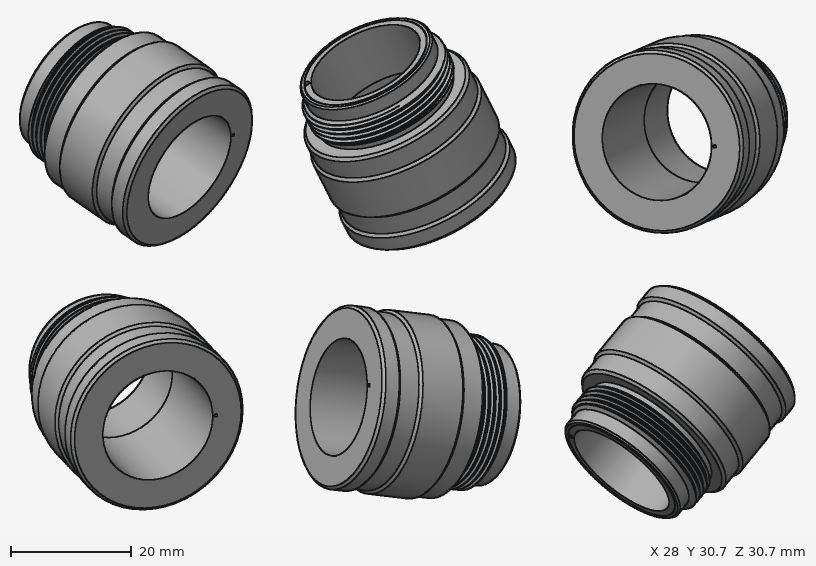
import cadquery as cq
import math

length = 28.0
outer_radius = 15.35
shelf_radius = 14.85
bore_radius = 9.8
step = outer_radius - shelf_radius

body_start = 8.5
band_start = 12.5
band_end = 21.0
rim_start = 24.5

spigot_radius = 11.85
spigot_chamfer = 0.3
neck_radius = 12.25

thread_start = 2.73
thread_end = 7.45
root_radius = 12.45
crest_radius = 12.95
pitch = 1.0
ridge_width = 0.75
crest_width = 0.12
ridge_embed = 0.15
lead_in_angle = 60.0
run_out = 0.37
first_crest = 2.52
helix_turns = 6

recess_radius = 11.05
liner_radius = 10.95
liner_length = 10.0

slot_radius = 0.52
slot_center = 10.62
vent_radius = 0.25
vent_center = 10.38


def revolve_about_x(points):
    """Turn a closed (x, radius) outline about the X axis."""
    return cq.Workplane("XY").polyline(points).close().revolve(360, (0, 0, 0), (1, 0, 0))


def tube(start, end, outside, inside):
    """Plain ring between two stations along X."""
    ring = cq.Workplane("YZ", origin=(start, 0, 0)).circle(outside).circle(inside)
    return ring.extrude(end - start)


def make_ridge(corners):
    """Helical ridge whose section has the given (radius, offset along X) corners."""
    rails = [
        cq.Wire.makeHelix(pitch, pitch * helix_turns, radius).translate(cq.Vector(0, 0, offset))
        for radius, offset in corners
    ]
    sides = [cq.Face.makeRuledSurface(rails[i - 1], rails[i]) for i in range(len(rails))]
    caps = [
        cq.Face.makeFromWires(cq.Wire.makePolygon([rail.positionAt(end) for rail in rails], close=True))
        for end in (0, 1)
    ]
    shell = cq.Shell.makeShell([face for side in sides for face in side.Faces()] + caps)
    ridge = cq.Workplane(obj=cq.Solid.makeSolid(shell))
    return ridge.rotate((0, 0, 0), (0, 1, 0), 90).translate((first_crest, 0, 0))


def make_thread():
    """Threaded ring: a root cylinder with a helical ridge, coned at both ends."""
    ridge_base = root_radius - ridge_embed
    flank_slope = (ridge_width - crest_width) / 2 / (crest_radius - root_radius)
    base_half = ridge_width / 2 + flank_slope * ridge_embed
    crest_half = crest_width / 2
    corners = [
        (ridge_base, -base_half),
        (crest_radius, -crest_half),
        (crest_radius, crest_half),
        (ridge_base, base_half),
    ]
    ridge = make_ridge(corners)
    lead_in = (crest_radius - spigot_radius) / math.tan(math.radians(lead_in_angle))
    envelope = revolve_about_x([
        (thread_start, recess_radius),
        (thread_start, spigot_radius),
        (thread_start + lead_in, crest_radius),
        (thread_end - run_out, crest_radius),
        (thread_end, root_radius),
        (thread_end, recess_radius),
    ])
    root = tube(thread_start, thread_end, root_radius, recess_radius)
    return root.union(ridge).intersect(envelope)


def make_housing():
    """Threaded spigot and banded body, recessed from the front for the liner."""
    housing = revolve_about_x([
        (0, recess_radius),
        (0, spigot_radius - spigot_chamfer),
        (spigot_chamfer, spigot_radius),
        (thread_start, spigot_radius),
        (thread_end, spigot_radius),
        (thread_end, neck_radius),
        (body_start, neck_radius),
        (body_start, shelf_radius - step),
        (body_start + step, shelf_radius),
        (band_start, shelf_radius),
        (band_start + step, outer_radius),
        (band_end - step, outer_radius),
        (band_end, shelf_radius),
        (rim_start, shelf_radius),
        (rim_start + step, outer_radius),
        (length - step, outer_radius),
        (length, shelf_radius),
        (length, bore_radius),
        (liner_length, bore_radius),
        (liner_length, recess_radius),
    ])
    vent = (
        cq.Workplane("YZ", origin=(liner_length, vent_center, 0))
        .circle(vent_radius)
        .extrude(length - liner_length)
    )
    return housing.union(make_thread()).cut(vent)


def make_liner():
    """Sleeve in the recess, with a round-bottomed slot along its outside."""
    liner = tube(0, liner_length, liner_radius, bore_radius)
    slot_bottom = cq.Workplane("YZ").center(slot_center, 0).circle(slot_radius).extrude(liner_length)
    slot_mouth = cq.Workplane("XY").box(
        liner_length, recess_radius - slot_center, 2 * slot_radius, centered=(False, False, True)
    ).translate((0, slot_center, 0))
    return liner.cut(slot_bottom).cut(slot_mouth)


housing = make_housing()
liner = make_liner()
result = cq.Compound.makeCompound([housing.val(), liner.val()])